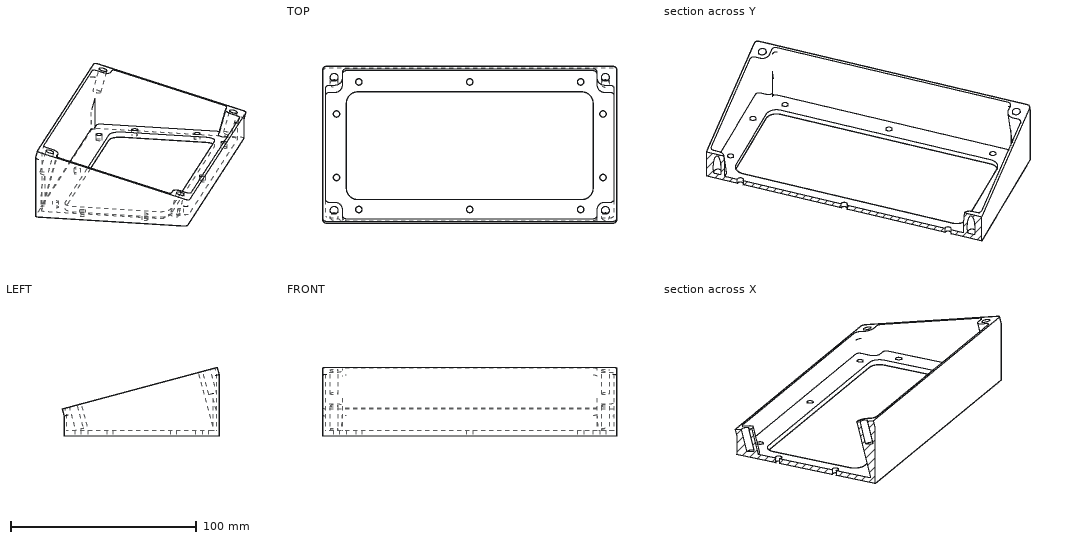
import cadquery as cq
import math

length = 159.0
total_depth = 84.9
total_height = 37.2
tilt = 15.0
rim_height = 4.0
wall = 1.5
floor = 3.0
outer_radius = 2.0

post_size = 10.7
post_radius = 4.0
inner_radius = 2.0
screw_inset = 6.2
screw_diameter = 4.3
screw_depth = 13.0

window_margin = 12.9
window_radius = 6.0
mount_diameter = 3.3
mount_inset = 7.5
long_side_spacing = 60.0
short_side_spacing = 34.3

slope_sine = math.sin(math.radians(tilt))
slope_cosine = math.cos(math.radians(tilt))
base_depth = total_depth - rim_height * slope_sine
rim_depth = base_depth / slope_cosine
mid_y = base_depth / 2
rim_base_mid_z = total_height - rim_height * slope_cosine - rim_depth / 2 * slope_sine
inner_length = length - 2 * wall
inner_rim_depth = rim_depth - 2 * wall
inner_base_depth = inner_rim_depth * slope_cosine
between_posts_x = length - 2 * post_size
between_posts_y = rim_depth - 2 * post_size
reach = 2 * total_depth


def upright_block(size_x, size_y, radius, bottom, height):
    """Vertical rounded block centred on the base."""
    block = cq.Workplane("XY", origin=(0, mid_y, bottom)).rect(size_x, size_y).extrude(height)
    return block.edges("|Z").fillet(radius)


def tilt_to_rim(shape):
    """Place a shape built around the origin on the underside of the rim."""
    return shape.rotate((0, 0, 0), (1, 0, 0), -tilt).translate((0, mid_y, rim_base_mid_z))


def plain_block(size_x, size_y, height):
    return cq.Workplane("XY").rect(size_x, size_y).extrude(height)


def pocket_between_posts(arm_depth, height):
    """Cross-shaped pocket that leaves a rounded post in each corner."""
    side_arms = plain_block(inner_length, between_posts_y, height).edges("|Z").fillet(inner_radius)
    long_arms = plain_block(between_posts_x, arm_depth, height).edges("|Z").fillet(inner_radius)
    cross = side_arms.union(long_arms)
    half_x = between_posts_x / 2
    half_y = between_posts_y / 2
    margin = post_radius / 4
    for x in (-half_x, half_x):
        for y in (-half_y, half_y):
            corner = cq.selectors.BoxSelector(
                (x - margin, y - margin, min(0, height) - margin),
                (x + margin, y + margin, max(0, height) + margin),
            )
            cross = cross.edges("|Z").edges(corner).fillet(post_radius)
    return cross


below_rim = tilt_to_rim(plain_block(2 * length, reach, -reach))
base = upright_block(length, base_depth, outer_radius, 0, total_height).intersect(below_rim)
rim = tilt_to_rim(plain_block(length, rim_depth, rim_height).edges("|Z").fillet(outer_radius))

cavity_walls = upright_block(between_posts_x, inner_base_depth, inner_radius, floor, total_height)
side_width = (inner_length - between_posts_x) / 2
for side in (-1, 1):
    side_space = cq.Workplane("XY").box(
        side_width, inner_base_depth, total_height, centered=(True, True, False)
    )
    side_x = side * (between_posts_x + side_width) / 2
    cavity_walls = cavity_walls.union(side_space.translate((side_x, mid_y, floor)))
cavity = tilt_to_rim(pocket_between_posts(reach, -reach)).intersect(cavity_walls)
cavity = cavity.intersect(below_rim)
rim_opening = tilt_to_rim(pocket_between_posts(inner_rim_depth, rim_height))

screw_holes = tilt_to_rim(
    cq.Workplane("XY", origin=(0, 0, rim_height))
    .rect(length - 2 * screw_inset, rim_depth - 2 * screw_inset, forConstruction=True)
    .vertices()
    .circle(screw_diameter / 2)
    .extrude(-screw_depth)
)

window = upright_block(
    length - 2 * window_margin, base_depth - 2 * window_margin, window_radius, 0, floor
)
row_y = base_depth / 2 - mount_inset
column_x = length / 2 - mount_inset
mount_points = []
for side in (-1, 1):
    for step in (-1, 0, 1):
        mount_points.append((step * long_side_spacing, side * row_y))
    for step in (-0.5, 0.5):
        mount_points.append((side * column_x, step * short_side_spacing))
mount_holes = (
    cq.Workplane("XY", origin=(0, mid_y, 0))
    .pushPoints(mount_points)
    .circle(mount_diameter / 2)
    .extrude(floor)
)

result = base.union(rim).cut(cavity).cut(rim_opening)
result = result.cut(screw_holes).cut(window).cut(mount_holes)